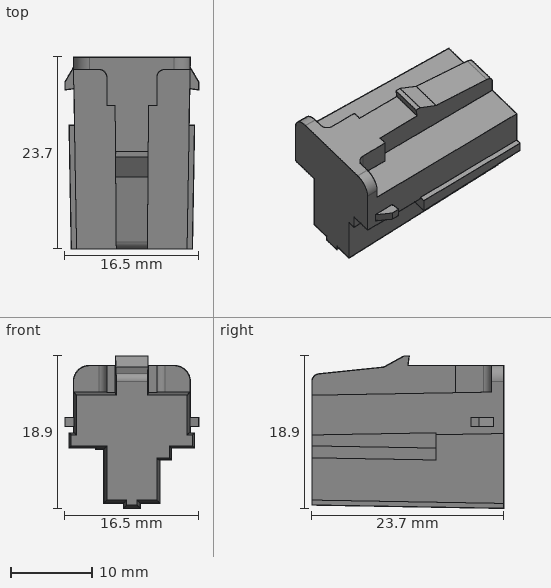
import cadquery as cq
import math

length = 23.7
height = 18.85
width = 16.52
draft_slope = math.tan(math.radians(1.0))

body_half_width = 6.814
body_bottom = 8.85
shelf_height = 13.98
core_half_width = 3.08
core_bottom = 1.05
core_top = 11.85
key_half_width = 0.65
key_bottom = length * draft_slope
rail_half_width = 7.5
rail_bottom = 7.73
rail_top = 9.08
rail_length = 15.3
step_right = 4.62
step_bottom = 6.25
ledge_left = -4.08

plate_thickness = 1.52
plate_top = 17.65
plate_corner_radius = 2.0
plate_front = length - plate_thickness

spine_front_half_width = 1.92
spine_rear_half_width = 2.06
spine_front_top = 16.55
spine_nose_radius = 1.0
spine_wide_start = 17.7
spine_wide_half_width = 3.08
spine_root_radius = 1.0
hook_ramp_start = 8.89
hook_ramp_bottom = 17.47
hook_tip_front = 11.4
hook_tip_rear = 12.05
hook_heel = 11.87

latch_bottom = 10.1
latch_height = 1.15
latch_front = 19.65
latch_heel = 19.8
latch_ramp_start = 20.65
latch_ramp_end = 22.45
latch_root = 5.92


def drafted_block(left, right, bottom, top, depth=length, bottom_rises=False):
    """Block given by its front rectangle, spreading toward the rear.

    With bottom_rises the underside slopes up with the top instead of down.
    """
    spread = depth * draft_slope
    rear_bottom = bottom + spread if bottom_rises else bottom - spread
    front = [(left, bottom), (right, bottom), (right, top), (left, top)]
    rear = [
        (left - spread, rear_bottom),
        (right + spread, rear_bottom),
        (right + spread, top + spread),
        (left - spread, top + spread),
    ]
    return (
        cq.Workplane("XZ").polyline(front).close()
        .workplane(offset=-depth).polyline(rear).close()
        .loft(ruled=True)
    )


def make_housing():
    """Body, core, keying steps and guide rails."""
    body = drafted_block(-body_half_width, body_half_width, body_bottom, shelf_height, bottom_rises=True)
    core = drafted_block(-core_half_width, core_half_width, core_bottom, core_top)
    key = drafted_block(-key_half_width, key_half_width, key_bottom, core_top)
    ledge = drafted_block(ledge_left, 0, rail_bottom, core_top)
    rails = drafted_block(-rail_half_width, rail_half_width, rail_bottom, rail_top, rail_length)
    step = drafted_block(0, step_right, step_bottom, rail_top, rail_length)
    return body.union(core).union(key).union(ledge).union(rails).union(step)


def make_rear_plate():
    """Upright plate with rounded upper corners."""
    front_half_width = body_half_width + plate_front * draft_slope
    rear_half_width = body_half_width + length * draft_slope
    outline = [
        (-front_half_width, plate_front),
        (front_half_width, plate_front),
        (rear_half_width, length),
        (-rear_half_width, length),
    ]
    plate = (
        cq.Workplane("XY").workplane(offset=core_top)
        .polyline(outline).close().extrude(plate_top - core_top)
    )
    top_corners = plate.faces(">Z").edges("not |X")
    return top_corners.fillet(plate_corner_radius)


def make_spine():
    """Side profile with the hook, trimmed to the stepped plan outline."""
    profile = (
        cq.Workplane("YZ")
        .moveTo(0, core_top)
        .lineTo(0, spine_front_top)
        .lineTo(hook_ramp_start, hook_ramp_bottom)
        .lineTo(hook_tip_front, height)
        .lineTo(hook_tip_rear, height)
        .lineTo(hook_heel, plate_top)
        .lineTo(length, plate_top)
        .lineTo(length, core_top)
        .close()
        .extrude(body_half_width, both=True)
    )
    nose_edge = cq.selectors.NearestToPointSelector((0, 0, spine_front_top))
    profile = profile.edges(nose_edge).fillet(spine_nose_radius)
    root_half_width = spine_wide_half_width + spine_root_radius
    right_side = [
        (spine_front_half_width, 0),
        (spine_rear_half_width, spine_wide_start),
        (spine_wide_half_width, spine_wide_start),
        (spine_wide_half_width, plate_front - spine_root_radius),
    ]
    right_half = (
        cq.Workplane("XY")
        .polyline([(0, 0)] + right_side)
        .radiusArc((root_half_width, plate_front), spine_root_radius)
        .lineTo(root_half_width, length)
        .lineTo(0, length)
        .close()
        .extrude(height)
    )
    outline = right_half.union(right_half.mirror("YZ"))
    return profile.intersect(outline)


def make_latch():
    """Ramped catch on the right side."""
    tip = width / 2
    side_at_ramp_end = body_half_width + latch_ramp_end * draft_slope
    side_at_heel = body_half_width + latch_heel * draft_slope
    outline = [
        (latch_root, latch_heel),
        (side_at_heel, latch_heel),
        (tip, latch_front),
        (tip, latch_ramp_start),
        (side_at_ramp_end, latch_ramp_end),
        (latch_root, latch_ramp_end),
    ]
    return (
        cq.Workplane("XY").workplane(offset=latch_bottom)
        .polyline(outline).close().extrude(latch_height)
    )


latch = make_latch()
result = (
    make_housing()
    .union(make_rear_plate())
    .union(make_spine())
    .union(latch)
    .union(latch.mirror("YZ"))
)